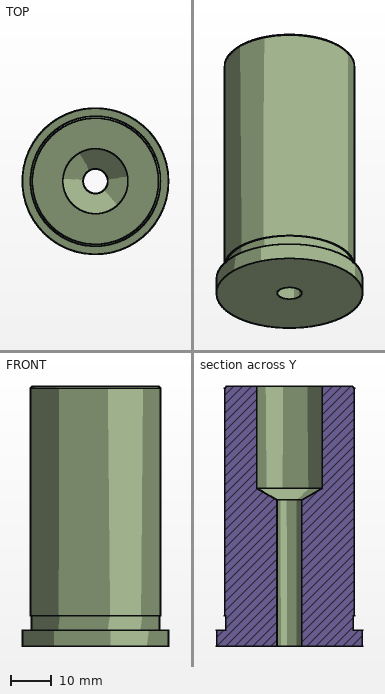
import cadquery as cq
import math

total_height = 64.0
flange_diameter = 36.0
flange_height = 4.0

shank_diameter = 32.0
relief_diameter = 31.54
relief_height = 3.5

rim_chamfer = 0.5

bore_diameter = 16.0
through_diameter = 6.0
bore_depth = 28.0
drill_point_angle = 120.0


def disc(diameter, bottom, top):
    """Solid cylinder on the Z axis between two heights."""
    return cq.Workplane("XY").workplane(offset=bottom).circle(diameter / 2).extrude(top - bottom)


def make_body():
    """Flange, relief groove and shank with its bevelled upper rim."""
    relief_top = flange_height + relief_height
    flange = disc(flange_diameter, 0, flange_height)
    relief = disc(relief_diameter, flange_height, relief_top)
    shank = disc(shank_diameter, relief_top, total_height).faces(">Z").edges().chamfer(rim_chamfer)
    return flange.union(relief).union(shank)


def make_bore():
    """Revolved cutter for the bore, its conical floor and the through hole."""
    bore_radius = bore_diameter / 2
    through_radius = through_diameter / 2
    cone_height = (bore_radius - through_radius) / math.tan(math.radians(drill_point_angle / 2))
    cone_bottom = total_height - bore_depth
    cone_top = cone_bottom + cone_height
    return (
        cq.Workplane("XZ")
        .lineTo(through_radius, 0)
        .lineTo(through_radius, cone_bottom)
        .lineTo(bore_radius, cone_top)
        .lineTo(bore_radius, total_height)
        .lineTo(0, total_height)
        .close()
        .revolve(360, (0, 0, 0), (0, 1, 0))
    )


result = make_body().cut(make_bore())